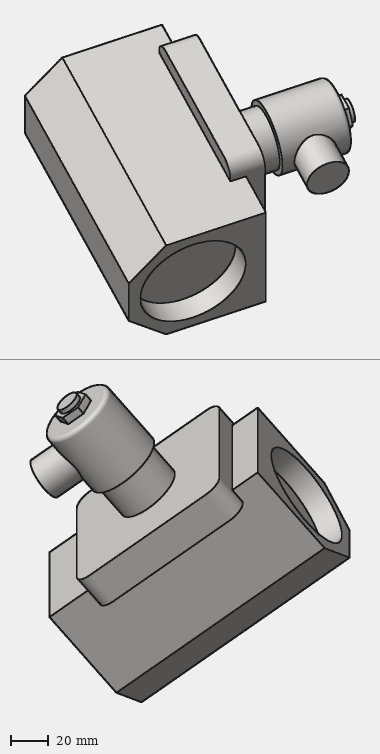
import cadquery as cq

block_length = 140.0
block_depth = 78.9
block_height = 74.1
block_chamfer = 21.5
port_diameter = 60.5
port_y = 37.0
port_depth = 13.5

flange_size = 96.0
flange_corner_radius = 9.0
flange_thickness = 20.0
flange_back_y = 89.9
actuator_x = -5.0

stem_radius = 18.0
stem_end_y = 111.1
core_radius = 6.5
core_end_y = 159.4
nut_across_corners = 20.4
nut_thickness = 4.8

coil_gap = 0.3
coil_radius = 21.0
coil_start_y = stem_end_y + coil_gap
coil_end_y = 151.7
coil_edge_radius = 2.5
connector_radius = 12.1
connector_reach = 38.0
connector_y = 130.4


def plane_at(y):
    """Plane across the actuator axis, facing +Y."""
    return cq.Workplane(cq.Plane(origin=(actuator_x, y, 0), xDir=(1, 0, 0), normal=(0, 1, 0)))


def cylinder(radius, start_y, end_y):
    """Cylinder on the actuator axis."""
    return plane_at(start_y).circle(radius).extrude(end_y - start_y)


def make_block():
    """Block with chamfered front edges and a blind port in each end."""
    block = cq.Workplane("XY").box(block_length, block_depth, block_height)
    block = block.translate((0, block_depth / 2, 0))
    block = block.edges("|X and <Y").chamfer(block_chamfer)
    port = (
        cq.Workplane("YZ", origin=(block_length / 2 - port_depth, 0, 0))
        .center(port_y, 0)
        .circle(port_diameter / 2)
        .extrude(port_depth)
    )
    return block.cut(port).cut(port.mirror("YZ"))


def make_flange():
    """Square plate with rounded corners."""
    flange = plane_at(flange_back_y - flange_thickness).rect(flange_size, flange_size)
    return flange.extrude(flange_thickness).edges("|Y").fillet(flange_corner_radius)


def make_valve_body():
    """Block, flange, stem, core and nut as one solid."""
    stem = cylinder(stem_radius, flange_back_y, stem_end_y)
    core = cylinder(core_radius, stem_end_y, core_end_y)
    nut = plane_at(coil_end_y).polygon(6, nut_across_corners).extrude(nut_thickness)
    return make_block().union(make_flange()).union(stem).union(core).union(nut)


def make_coil():
    """Round coil housing with a side connector and a bore for the core."""
    housing = cylinder(coil_radius, coil_start_y, coil_end_y)
    housing = housing.faces(">Y").edges().fillet(coil_edge_radius)
    connector = (
        cq.Workplane("YZ", origin=(actuator_x, 0, 0))
        .center(connector_y, 0)
        .circle(connector_radius)
        .extrude(connector_reach)
    )
    bore = cylinder(core_radius, coil_start_y, coil_end_y)
    return housing.union(connector).cut(bore)


valve_body = make_valve_body()
coil = make_coil()

result = cq.Compound.makeCompound([valve_body.solids().val(), coil.solids().val()])